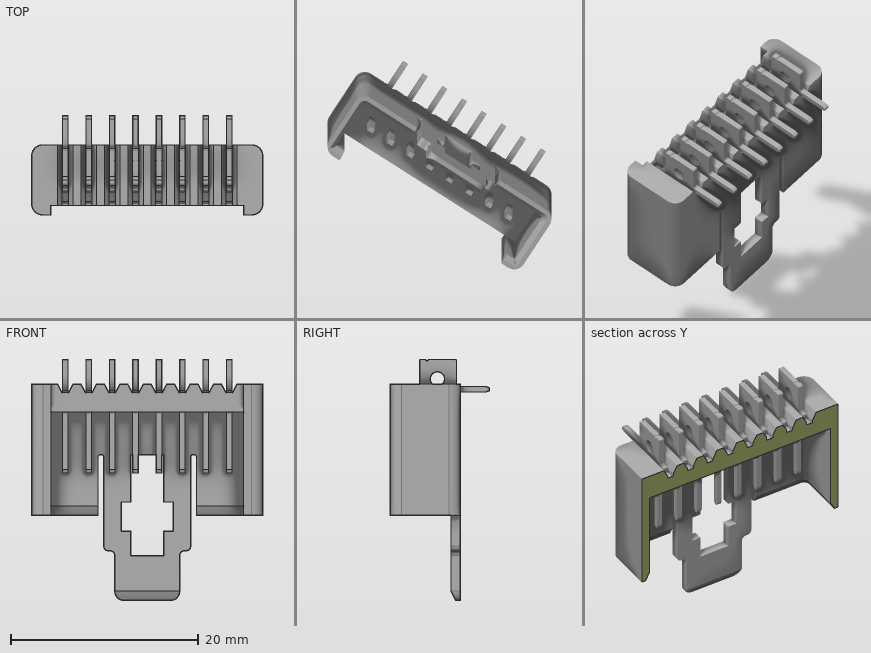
import cadquery as cq
import math

body_width = 24.7
body_depth = 7.5
body_height = 14.0
outer_corner_radius = 1.2

header_bottom = 11.0
back_wall = 1.0
lip_depth = 1.0
side_wall = 1.0
opening_width = 20.6
chamber_corner_radius = 0.2
chamber_front = -(body_depth - lip_depth)
chamber_back = -back_wall
chamber_width = body_width - 2 * side_wall

lead_in_height = 1.0
lead_in_depth = 0.5
lead_in_corner_radius = 0.75
lead_in_angle = math.degrees(math.atan2(lead_in_depth, lead_in_height))

tongue_half_width = 4.65
tongue_end_half_width = 3.475
tongue_bottom = -9.1
shoulder_level = -3.8
shoulder_radius = 0.5
tongue_tip_radius = 1.0
relief_width = 0.6
relief_top = 6.45
relief_corner_radius = 0.2

window_width = 3.5
window_bottom = -4.3
cross_width = 5.55
cross_bottom = -1.7
cross_top = 1.4

contact_count = 8
pitch = 2.5
groove_depth = 0.9
groove_top_width = 1.65
groove_floor_width = 0.7
groove_floor = body_height - groove_depth
pocket_back = -5.05
pocket_front = -6.2
pocket_depth = 0.5
pocket_slope = 0.15

contact_thickness = 0.6
blade_top = 16.65
blade_back = -0.4
blade_front = -4.35
blade_corner_radius = 0.15
blade_root = 12.0
notch_position = -3.56
notch_radius = 0.19
notch_depth = 0.14
ledge_top = 13.3
ledge_fillet = 0.2
eye_position = -2.45
eye_level = 14.55
eye_diameter = 1.5

tail_end = 3.1
tail_bottom = 13.15
leg_back = -3.4
leg_bottom = 4.5
lead_size = 0.6
tip_length = 0.37
tip_inset = 0.14


def centred_box(width, y_min, y_max, z_min, z_max):
    """Box that is symmetric about x = 0."""
    size = (width, y_max - y_min, z_max - z_min)
    block = cq.Workplane("XY").box(*size, centered=(True, False, False))
    return block.translate((0, y_min, z_min))


def extrude_across(profile, width):
    """Extrude a YZ profile symmetrically along X."""
    return profile.close().extrude(width / 2, both=True)


def make_shell():
    shell = centred_box(body_width, -body_depth, 0, 0, body_height)
    shell = shell.edges("|Z").fillet(outer_corner_radius)
    chamber = centred_box(chamber_width, chamber_front, chamber_back, 0, header_bottom)
    chamber = chamber.edges("|Z and >Y").fillet(chamber_corner_radius)
    opening = centred_box(opening_width, -body_depth, chamber_front, 0, body_height)
    return shell.cut(chamber).cut(opening).cut(make_lead_in())


def make_lead_in():
    """Tapered flare around the bottom of the chamber."""
    flare_width = chamber_width + 2 * lead_in_depth
    flare_depth = chamber_back - chamber_front + 2 * lead_in_depth
    flare = cq.Workplane("XY").rect(flare_width, flare_depth)
    flare = flare.extrude(lead_in_height, taper=lead_in_angle)
    rear_corners = flare.edges("not (|X or |Y)").edges(">Y")
    flare = rear_corners.fillet(lead_in_corner_radius)
    return flare.translate((0, (chamber_front + chamber_back) / 2, 0))


def make_tongue_opening():
    """Space cleared from the back wall for the tongue and the relief slots beside it."""
    outer = tongue_half_width + relief_width
    opening = centred_box(2 * outer, -back_wall, 0, 0, relief_top)
    divider = centred_box(2 * tongue_half_width, -back_wall, 0, 0, relief_top)
    slots = opening.cut(divider).edges("|Y and >Z").fillet(relief_corner_radius)
    return slots.union(divider)


def make_tongue():
    upper = centred_box(2 * tongue_half_width, -back_wall, 0, shoulder_level, relief_top)
    upper = upper.edges("|Y and <Z").fillet(shoulder_radius)
    lower = centred_box(2 * tongue_end_half_width, -back_wall, 0, tongue_bottom, 0)
    lower = lower.edges("|Y and <Z").fillet(tongue_tip_radius)
    tongue = upper.union(lower)
    half_span = tongue_end_half_width + shoulder_radius / 10
    inner_corners = cq.selectors.BoxSelector(
        (-half_span, -body_depth, shoulder_level - shoulder_radius / 2),
        (half_span, body_depth, shoulder_level + shoulder_radius / 2),
    )
    tongue = tongue.edges("|Y").edges(inner_corners).fillet(shoulder_radius)
    tip_bevel = (
        cq.Workplane("YZ")
        .moveTo(-back_wall, tongue_bottom)
        .lineTo(-back_wall + lead_in_depth, tongue_bottom)
        .lineTo(-back_wall, tongue_bottom + lead_in_height)
    )
    return tongue.cut(extrude_across(tip_bevel, body_width))


def make_window():
    upright = centred_box(window_width, -back_wall, 0, window_bottom, relief_top)
    crossbar = centred_box(cross_width, -back_wall, 0, cross_bottom, cross_top)
    return upright.union(crossbar)


def make_groove():
    """Flared groove across the top, with a deeper pocket in front of the contact."""
    groove = (
        cq.Workplane("XZ")
        .moveTo(-groove_top_width / 2, body_height)
        .lineTo(groove_top_width / 2, body_height)
        .lineTo(groove_floor_width / 2, groove_floor)
        .lineTo(-groove_floor_width / 2, groove_floor)
        .close()
        .extrude(body_depth)
    )
    pocket = (
        cq.Workplane("YZ")
        .moveTo(pocket_back, groove_floor)
        .lineTo(pocket_front, groove_floor)
        .lineTo(pocket_front + pocket_slope, groove_floor - pocket_depth)
        .lineTo(pocket_back, groove_floor - pocket_depth)
    )
    return groove.union(extrude_across(pocket, groove_floor_width))


def make_lead(length):
    """Square lead along +Y from the origin, its tip tapered above and below."""
    half = lead_size / 2
    profile = (
        cq.Workplane("YZ")
        .moveTo(0, -half)
        .lineTo(length - tip_length, -half)
        .lineTo(length, -half + tip_inset)
        .lineTo(length, half - tip_inset)
        .lineTo(length - tip_length, half)
        .lineTo(0, half)
    )
    return extrude_across(profile, contact_thickness)


def make_cross_hole(y, z, radius):
    """Round cutter that passes through a contact along X."""
    return cq.Workplane("YZ").center(y, z).circle(radius).extrude(contact_thickness, both=True)


def make_blade():
    plate = centred_box(contact_thickness, blade_front, blade_back, blade_root, blade_top)
    plate = plate.edges("|X and >Z").fillet(blade_corner_radius)
    notch = make_cross_hole(notch_position, blade_top - notch_depth + notch_radius, notch_radius)
    eye = make_cross_hole(eye_position, eye_level, eye_diameter / 2)
    return plate.cut(notch).cut(eye)


def make_ledge():
    """Step at the foot of the blade that closes the back of the pocket."""
    ledge = centred_box(contact_thickness, pocket_back, blade_front, blade_root, ledge_top)
    return ledge.edges("|X and >Z and <Y").fillet(blade_corner_radius)


def make_inside_fillet(corner_y, corner_z, direction):
    """Fillet on a blade edge at a level, reaching out along Y in the given direction."""
    reach = corner_y + direction * ledge_fillet
    middle = ledge_fillet * (1 - math.sqrt(0.5))
    profile = (
        cq.Workplane("YZ")
        .moveTo(corner_y, corner_z)
        .lineTo(reach, corner_z)
        .threePointArc(
            (corner_y + direction * middle, corner_z + middle),
            (corner_y, corner_z + ledge_fillet),
        )
    )
    return extrude_across(profile, contact_thickness)


def make_contact():
    tail_level = tail_bottom + lead_size / 2
    tail = make_lead(tail_end - blade_back).translate((0, blade_back, tail_level))
    leg = make_lead(blade_root - leg_bottom).rotate((0, 0, 0), (1, 0, 0), -90)
    leg = leg.translate((0, leg_back - lead_size / 2, blade_root))
    contact = make_blade().union(make_ledge()).union(tail).union(leg)
    contact = contact.union(make_inside_fillet(blade_front, ledge_top, -1))
    return contact.union(make_inside_fillet(blade_back, tail_bottom + lead_size, 1))


def make_header():
    return centred_box(opening_width, chamber_front, 0, header_bottom, body_height)


result = make_shell().union(make_header())
result = result.cut(make_tongue_opening()).union(make_tongue()).cut(make_window())

groove = make_groove()
contact = make_contact()
for index in range(contact_count):
    contact_x = (index - (contact_count - 1) / 2) * pitch
    result = result.cut(groove.translate((contact_x, 0, 0)))
    result = result.union(contact.translate((contact_x, 0, 0)))